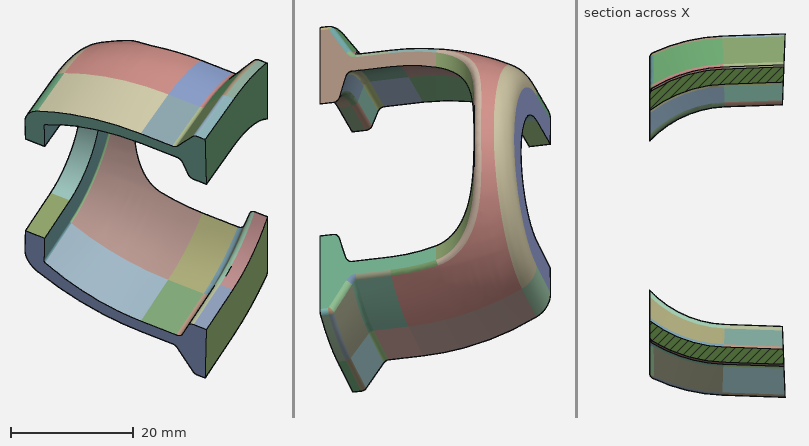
import cadquery as cq
import math


flare_angle = 2.0
end_depth = 9.2
end_tilt = 2.2
height = 59.25
sweep_length = 11.85

flare = math.radians(flare_angle)
width = 33.35
flange_radius = height / 2 * math.cos(flare) - end_depth * math.sin(flare)
bore_radius = 11.1

outer_radius = 24.25
inner_radius = 21.75
barrel_start = 21.45
outer_arc_radius = 41.5
inner_arc_radius = 34.4
front_wall = 3.55
front_corner_round = 4.5
inner_corner_round = 0.5

rim_thickness = 1.95
slope_foot = 27.8
lip_radius = 17.7
lip_foot = 28.75
lip_thickness = 3.1
flange_round = 1.0
lip_round = 1.1

relief_height = 12.9
relief_round = 8.2
relief_start = 5.65
relief_edge_round = 1.0

clearance = 5.9


def arc_height(top, arc_radius, x):
    """Radius at x of a wall arc that meets the straight barrel tangentially."""
    return top - arc_radius + math.sqrt(arc_radius**2 - (barrel_start - x) ** 2)


def wall_arc(sketch, top, arc_radius, start_x, end_x):
    """Add a wall arc running between two x positions."""
    middle_x = (start_x + end_x) / 2
    middle = (middle_x, arc_height(top, arc_radius, middle_x))
    return sketch.threePointArc(middle, (end_x, arc_height(top, arc_radius, end_x)))


def round_corner(leg, x, r, radius):
    """Round the section corner at (x, r) along a straight leg."""
    reach = 0.03
    corner = cq.selectors.BoxSelector(
        (x - reach, -sweep_length, r - reach), (x + reach, 0, r + reach)
    )
    return leg.edges(corner).edges("|Y").fillet(radius)


def body_leg():
    """Filled leg bounded by the outer wall and the outer slope of the flange."""
    front_height = arc_height(outer_radius, outer_arc_radius, 0)
    rim_start = width - rim_thickness
    sketch = cq.Workplane("XZ").lineTo(0, front_height)
    sketch = wall_arc(sketch, outer_radius, outer_arc_radius, 0, barrel_start)
    leg = (
        sketch.lineTo(slope_foot, outer_radius)
        .lineTo(rim_start, flange_radius)
        .lineTo(width, flange_radius)
        .lineTo(width, 0)
        .close()
        .extrude(sweep_length)
    )
    leg = round_corner(leg, 0, front_height, front_corner_round)
    leg = round_corner(leg, slope_foot, outer_radius, flange_round)
    return round_corner(leg, rim_start, flange_radius, flange_round)


def cavity_leg():
    """Filled leg bounded by the bore, the inner wall and the inner lip of the flange."""
    corner_height = arc_height(inner_radius, inner_arc_radius, front_wall)
    lip_start = width - lip_thickness
    sketch = (
        cq.Workplane("XZ")
        .lineTo(0, bore_radius)
        .lineTo(front_wall, bore_radius)
        .lineTo(front_wall, corner_height)
    )
    sketch = wall_arc(sketch, inner_radius, inner_arc_radius, front_wall, barrel_start)
    leg = (
        sketch.lineTo(lip_foot, inner_radius)
        .lineTo(lip_start, lip_radius)
        .lineTo(width, lip_radius)
        .lineTo(width, 0)
        .close()
        .extrude(sweep_length)
    )
    leg = round_corner(leg, front_wall, corner_height, inner_corner_round)
    leg = round_corner(leg, lip_foot, inner_radius, lip_round)
    return round_corner(leg, lip_start, lip_radius, lip_round)


def lean_outward(leg):
    """Lean a leg outward about the X axis."""
    return leg.rotate((0, 0, 0), (1, 0, 0), -flare_angle)


def make_arch(leg):
    """Revolve the root face of a leg round the X axis to the root of the opposite leg."""
    root = leg.faces(">Y").val().outerWire()
    arch_angle = 180 - 2 * flare_angle
    axis_start = cq.Vector(0, 0, 0)
    axis_end = cq.Vector(-1, 0, 0)
    return cq.Workplane(cq.Solid.revolve(root, [], arch_angle, axis_start, axis_end))


def join_legs(arch, leg):
    """Join the two mirrored legs to an arch."""
    return arch.union(leg).union(leg.mirror("XY"))


def make_relief():
    """Cutter straight along Z whose concave corner leaves the front wall as a raised crest."""
    centre_x = relief_start + relief_round
    centre_y = relief_height + relief_round
    diagonal = relief_round * math.sqrt(0.5)
    right = width + clearance
    top = flange_radius + clearance
    return (
        cq.Workplane("XY")
        .moveTo(relief_start, top)
        .lineTo(relief_start, centre_y)
        .threePointArc((centre_x - diagonal, centre_y - diagonal), (centre_x, relief_height))
        .lineTo(right, relief_height)
        .lineTo(right, top)
        .close()
        .extrude(top, both=True)
    )


def round_relief_edges(arch):
    """Round the edges where the relief meets the outer surface, leaving the open side sharp."""
    margin = 0.05
    relief_box = cq.selectors.BoxSelector(
        (relief_start - margin, relief_height - margin, -flange_radius),
        (width - margin, flange_radius, flange_radius),
    )
    return arch.edges(relief_box).edges("not |Z").fillet(relief_edge_round)


def make_end_trim():
    """Cutter for the leg ends, whose faces lean so that the legs are longest at the flange rim."""
    reach = flange_radius + clearance
    lean = math.tan(math.radians(end_tilt))
    rim_y = -end_depth - (reach - flange_radius) * lean
    axis_y = -end_depth + flange_radius * lean
    far_y = -sweep_length - clearance
    return (
        cq.Workplane("YZ")
        .polyline([(far_y, -reach), (rim_y, -reach), (axis_y, 0), (rim_y, reach), (far_y, reach)])
        .close()
        .extrude(width)
    )


outer_leg = lean_outward(body_leg())
inner_leg = lean_outward(cavity_leg())
outer_arch = round_relief_edges(make_arch(outer_leg).cut(make_relief()))
body = join_legs(outer_arch, outer_leg)
cavity = join_legs(make_arch(inner_leg), inner_leg)
result = body.cut(cavity).cut(make_end_trim())